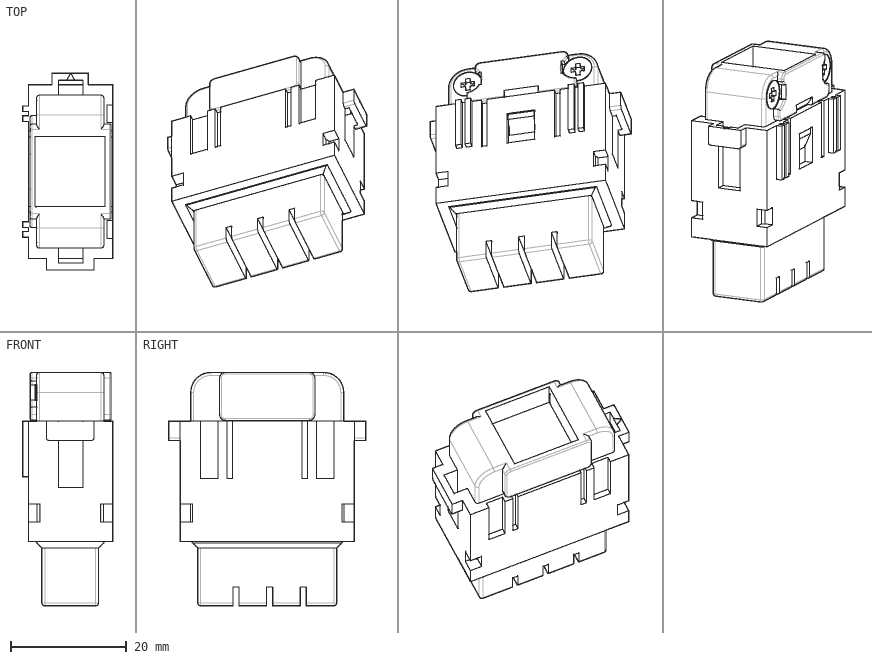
import cadquery as cq

TOTAL_Z = 40.3

SHELL_X = 14.6
SHELL_Y = 30.05
SHELL_BOTTOM = 11.1
SHELL_TOP = 31.88

CORE_SHIFT_X = -0.1
CORE_X = 11.6
CORE_Y = 26.45
CORE_FILLET = 0.52

PLUG_X = 9.85
PLUG_Y = 24.0
TAPER_HEIGHT = 1.1
TAPER_STEP_X = (CORE_X - PLUG_X) / 2
PLUG_SLOT_WIDTH = 1.0
PLUG_SLOT_HEIGHT = 3.22
PLUG_SLOT_PITCH = 5.8
PLUG_SLOT_CENTRE_Y = 0.4

HOOD_CORNER_R = 3.45
POCKET_SIDE = 12.1
POCKET_DEPTH = 4.85

PLATES_X = 14.0
PLATE_GAP = 0.15
PLATE_TOP_Y = 16.45
PLATE_WIDE_Y = 19.3
PLATE_CORNER_R = 0.95
PLATE_EDGE_FILLET = 0.3
PLATE_NOTCH_Y = 6.05
PLATE_NOTCH_HEIGHT = 1.65

SCREW_Y = CORE_Y / 2 - HOOD_CORNER_R
SCREW_Z = TOTAL_Z - HOOD_CORNER_R
SCREW_R = 2.5
SCREW_RECESS = 0.12
CLEARANCE_R = 2.55
CLEARANCE_REACH = 2.65
CLEARANCE_HEIGHT = 2.6
SLIT_WIDTH = 0.2
CROSS_LENGTH = 2.4
CROSS_FLOOR_LENGTH = 1.6
CROSS_WIDTH = 0.85
CROSS_DEPTH = 0.6

TAB_REACH = 1.97
TAB_HEIGHT = 3.35
TAB_FRONT_X = 8.22
TAB_BACK_X = 6.3
TAB_FILLET = 0.5
TAB_BAR = 1.25
CHANNEL_X = 4.2
CHANNEL_BOTTOM = 20.47
ARROW_WIDTH = 1.4
ARROW_DEPTH = 0.12

RIB_WIDTH = 1.0
RIB_REACH = 1.0
RIB_BOTTOM = 22.25
RIB_PAIR_Y = 10.0
RIB_SPACING = 1.7
RECESS_WIDTH = 3.05
GROOVE_Y = 6.5
GROOVE_WIDTH = 1.0
GROOVE_DEPTH = 1.0
GROOVE_BOTTOM = 21.95

WINDOW_Y = 4.9
WINDOW_TOP = 28.25
LATCH_Y = 4.55
LATCH_LIP_BOTTOM = 27.15
LATCH_SLOPE_BOTTOM = 24.6
LATCH_SETBACK = 0.3

NOTCH_BOTTOM = 14.5
NOTCH_HEIGHT = 3.05
NOTCH_INNER_X = 5.25
NOTCH_INNER_Y = 12.9
NOTCH_CHAMFER_X = 0.5
NOTCH_CHAMFER_Y = 0.32

SHELL_SIDE = SHELL_X / 2
SHELL_END = SHELL_Y / 2
PLUG_TOP = SHELL_BOTTOM - TAPER_HEIGHT
HOOD_FACE_X = CORE_SHIFT_X - CORE_X / 2
PLATE_FACE_X = PLATES_X / 2
PLATE_BOTTOM = SHELL_TOP + PLATE_GAP


def block(x_range, y_range, z_range):
    """Box spanning the given (low, high) limits on each axis."""
    lows, highs = zip(x_range, y_range, z_range)
    sizes = [high - low for low, high in zip(lows, highs)]
    return cq.Workplane("XY").box(*sizes, centered=False).translate(lows)


def span(centre, size):
    """Limits of a length centred on a place."""
    return (centre - size / 2, centre + size / 2)


def along_y(points, length):
    """Prism from an XZ outline, centred on Y = 0."""
    return cq.Workplane("XZ").polyline(points).close().extrude(length / 2, both=True)


def along_x(points, length):
    """Prism from a YZ outline, centred on X = 0."""
    return cq.Workplane("YZ").polyline(points).close().extrude(length / 2, both=True)


def make_shell():
    return block(span(0, SHELL_X), span(0, SHELL_Y), (SHELL_BOTTOM, SHELL_TOP))


def make_collar():
    """Collar whose ends taper over the full height and whose sides start with a short straight."""
    top_x = CORE_X / 2
    low_x = PLUG_X / 2
    straight_bottom = PLUG_TOP + TAPER_STEP_X
    side_outline = [
        (-low_x, PLUG_TOP), (low_x, PLUG_TOP),
        (top_x, straight_bottom), (top_x, SHELL_BOTTOM),
        (-top_x, SHELL_BOTTOM), (-top_x, straight_bottom),
    ]
    low_y = PLUG_Y / 2
    top_y = low_y + TAPER_HEIGHT
    end_outline = [
        (-low_y, PLUG_TOP), (low_y, PLUG_TOP), (top_y, SHELL_BOTTOM), (-top_y, SHELL_BOTTOM),
    ]
    collar = along_y(side_outline, CORE_Y).intersect(along_x(end_outline, CORE_X))
    return collar.translate((CORE_SHIFT_X, 0, 0))


def make_plug():
    plug = block(span(CORE_SHIFT_X, PLUG_X), span(0, PLUG_Y), (0, PLUG_TOP))
    plug = plug.edges("|Z").fillet(CORE_FILLET).faces("<Z").edges().fillet(CORE_FILLET)
    for step in (-1, 0, 1):
        centre_y = PLUG_SLOT_CENTRE_Y + step * PLUG_SLOT_PITCH
        plug = plug.cut(block(
            span(CORE_SHIFT_X, CORE_X), span(centre_y, PLUG_SLOT_WIDTH), (0, PLUG_SLOT_HEIGHT)))
    return plug


def make_hood():
    hood = block(span(CORE_SHIFT_X, CORE_X), span(0, CORE_Y), (SHELL_BOTTOM, TOTAL_Z))
    hood = hood.faces(">Z").edges("|X").fillet(HOOD_CORNER_R)
    return hood.faces("<X or >X").edges("not <Z").fillet(CORE_FILLET)


def plate_blank(x_range, width):
    plate = block(x_range, span(0, width), (PLATE_BOTTOM, TOTAL_Z))
    return plate.edges("|X").fillet(PLATE_CORNER_R)


def make_plain_plate():
    plate = plate_blank((0, PLATE_FACE_X), PLATE_TOP_Y)
    return plate.faces(">X").edges().fillet(PLATE_EDGE_FILLET)


def make_screw_plate():
    """Plate on the screw side: narrow above the screws, wide below and cleared around their heads."""
    x_range = (-PLATE_FACE_X, CORE_SHIFT_X)
    upper = plate_blank(x_range, PLATE_TOP_Y)
    lower = plate_blank(x_range, PLATE_WIDE_Y)
    lower = lower.intersect(block(x_range, span(0, PLATE_WIDE_Y), (PLATE_BOTTOM, SCREW_Z)))
    plate = upper.union(lower)
    for side in (-1, 1):
        head = cq.Workplane("YZ").center(side * SCREW_Y, SCREW_Z).circle(CLEARANCE_R)
        plate = plate.cut(head.extrude(SHELL_X, both=True))
    plate = plate.faces("<X").edges().fillet(PLATE_EDGE_FILLET)
    for side in (-1, 1):
        flat = block(span(0, 2 * SHELL_X), span(side * SCREW_Y, 2 * CLEARANCE_REACH),
                     span(SCREW_Z, CLEARANCE_HEIGHT))
        plate = plate.cut(flat)
    ramp = [
        (-PLATE_FACE_X, SHELL_TOP), (-PLATE_FACE_X, SHELL_TOP + PLATE_NOTCH_HEIGHT),
        (HOOD_FACE_X, SHELL_TOP),
    ]
    return plate.cut(along_y(ramp, PLATE_NOTCH_Y))


def cut_pocket(body):
    """Square pocket in the top, opened to the screw clearances by a thin slit."""
    pocket = block(span(CORE_SHIFT_X, POCKET_SIDE), span(0, POCKET_SIDE),
                   (TOTAL_Z - POCKET_DEPTH, TOTAL_Z))
    slit = block((HOOD_FACE_X - SLIT_WIDTH, HOOD_FACE_X), span(0, 2 * SCREW_Y),
                 span(SCREW_Z, CLEARANCE_HEIGHT))
    return body.cut(pocket).cut(slit)


def cut_screws(body):
    """Screw heads just below the hood face, each with a cross recess with sloped arm ends."""
    head_face = HOOD_FACE_X + SCREW_RECESS
    cross_floor = head_face + CROSS_DEPTH
    arm_outline = [
        (head_face, -CROSS_LENGTH / 2), (cross_floor, -CROSS_FLOOR_LENGTH / 2),
        (cross_floor, CROSS_FLOOR_LENGTH / 2), (head_face, CROSS_LENGTH / 2),
    ]
    upright_arm = along_y(arm_outline, CROSS_WIDTH)
    level_arm = upright_arm.rotate((0, 0, 0), (1, 0, 0), 90)
    seat = cq.Workplane("YZ", origin=(HOOD_FACE_X, 0, 0)).circle(SCREW_R).extrude(SCREW_RECESS)
    screw = seat.union(upright_arm).union(level_arm)
    for side in (-1, 1):
        body = body.cut(screw.translate((0, side * SCREW_Y, SCREW_Z)))
    return body


def add_end_tabs(body):
    """Tab at each end with a channel behind it that runs down the end wall."""
    tab_bottom = SHELL_TOP - TAB_HEIGHT
    channel_back = CORE_Y / 2
    tab_end = SHELL_END + TAB_REACH
    for side, width in ((-1, TAB_FRONT_X), (1, TAB_BACK_X)):
        tab = block(span(CORE_SHIFT_X, width), sorted((side * channel_back, side * tab_end)),
                    (tab_bottom, SHELL_TOP))
        tab = tab.faces("<Z").edges("|Y").fillet(TAB_FILLET)
        channel = block(span(0, CHANNEL_X), sorted((side * channel_back, side * (tab_end - TAB_BAR))),
                        (CHANNEL_BOTTOM, SHELL_TOP))
        body = body.union(tab).cut(channel)
    return body


def cut_arrow(body):
    """Shallow triangular mark on the +Y tab, pointing outward."""
    tip_y = SHELL_END + TAB_REACH
    arrow = cq.Workplane("XY", origin=(0, 0, SHELL_TOP - ARROW_DEPTH)).polyline([
        (-ARROW_WIDTH / 2, tip_y - TAB_BAR), (ARROW_WIDTH / 2, tip_y - TAB_BAR), (0, tip_y),
    ]).close().extrude(ARROW_DEPTH)
    return body.cut(arrow)


def add_keying(body):
    """Rib pairs on -X, recesses for the ribs of a neighbour on +X, and grooves on both sides."""
    for side in (-1, 1):
        pair_y = side * RIB_PAIR_Y
        for offset in (-RIB_SPACING / 2, RIB_SPACING / 2):
            rib = block((-SHELL_SIDE - RIB_REACH, -SHELL_SIDE), span(pair_y + offset, RIB_WIDTH),
                        (RIB_BOTTOM, SHELL_TOP))
            body = body.union(rib)
        recess = block((SHELL_SIDE - RIB_REACH, SHELL_SIDE), span(pair_y, RECESS_WIDTH),
                       (GROOVE_BOTTOM, SHELL_TOP))
        body = body.cut(recess)
        for face_x in (-SHELL_SIDE, SHELL_SIDE):
            groove = block(span(face_x, 2 * GROOVE_DEPTH), span(side * GROOVE_Y, GROOVE_WIDTH),
                           (GROOVE_BOTTOM, SHELL_TOP))
            body = body.cut(groove)
    return body


def add_latch_window(body):
    """Window in the -X face, down to the core, with a sloped latch filling its upper part."""
    lip_x = LATCH_SETBACK - SHELL_SIDE
    window = block((-SHELL_SIDE, HOOD_FACE_X), span(0, WINDOW_Y), (GROOVE_BOTTOM, WINDOW_TOP))
    latch_outline = [
        (lip_x, WINDOW_TOP), (lip_x, LATCH_LIP_BOTTOM),
        (HOOD_FACE_X, LATCH_SLOPE_BOTTOM), (HOOD_FACE_X, WINDOW_TOP),
    ]
    return body.cut(window).union(along_y(latch_outline, LATCH_Y))


def cut_corner_notches(body):
    """Notch at each vertical corner, with a chamfered inner corner."""
    for side_x in (-1, 1):
        inner_x = CORE_SHIFT_X + side_x * NOTCH_INNER_X
        outer_x = side_x * SHELL_X
        for side_y in (-1, 1):
            inner_y = side_y * NOTCH_INNER_Y
            outer_y = side_y * SHELL_Y
            notch = cq.Workplane("XY", origin=(0, 0, NOTCH_BOTTOM)).polyline([
                (outer_x, outer_y), (inner_x, outer_y),
                (inner_x, inner_y + side_y * NOTCH_CHAMFER_Y),
                (inner_x + side_x * NOTCH_CHAMFER_X, inner_y),
                (outer_x, inner_y),
            ]).close().extrude(NOTCH_HEIGHT)
            body = body.cut(notch)
    return body


shell = add_end_tabs(make_shell())
shell = cut_arrow(shell)
shell = add_keying(shell)
shell = add_latch_window(shell)
shell = cut_corner_notches(shell)

upper = make_hood().union(make_plain_plate()).union(make_screw_plate())
upper = cut_screws(cut_pocket(upper))

result = shell.union(upper).union(make_collar()).union(make_plug())